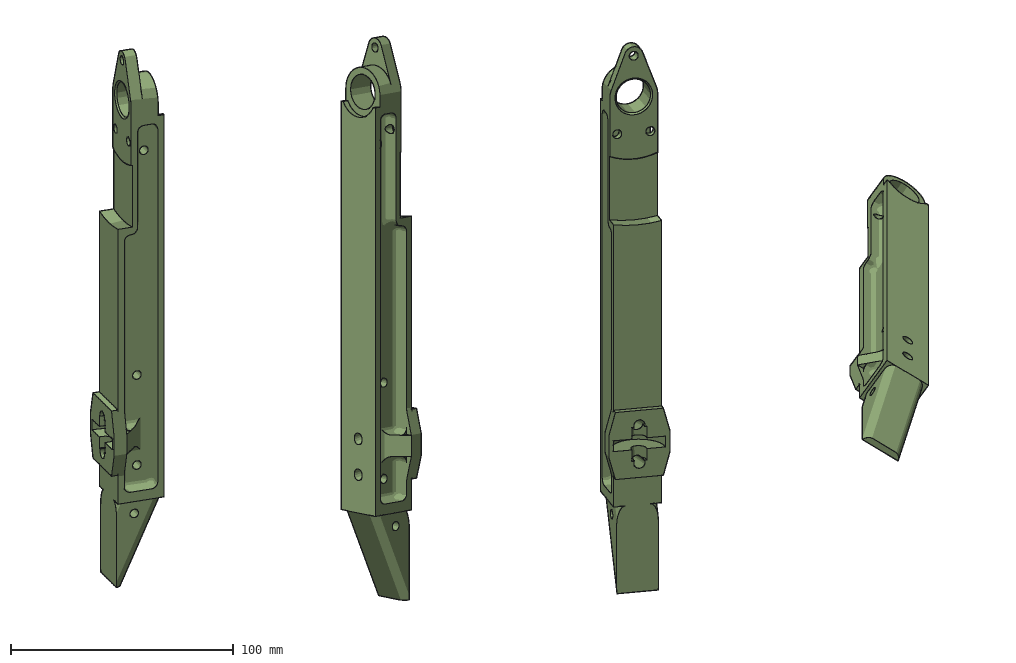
import cadquery as cq
import math

TOTAL_HEIGHT = 257.2
WALL = 3.0

WIDTH = 22.5
DEPTH = 22.5
HALF_WIDTH = WIDTH / 2
SHANK_BOTTOM = 41.5

EYE_Z = 233.5
EYE_FRONT = 6.5
EYE_BACK = 19.5
TIP_RADIUS = 4.5
TIP_Z = TOTAL_HEIGHT - TIP_RADIUS
TIP_PLATE_THICKNESS = 5.7
BORE_RADIUS = 8.0
BORE_CHAMFER = 0.8
PIN_RADIUS = 2.0
PIN_X = 7.7
PIN_Z = 216.3
PIN_HOLE_END = EYE_FRONT + 2 * WALL

PAD_RADIUS = 29.8
SHOULDER_RADIUS = 59.0
RELIEF_FRONT = 7.0
LEDGE_Z = 228.0

POCKET_DEPTH = 6.0
POCKET_FILLET = WALL
POCKET_TOP = 224.5
POCKET_STEP_Z = 172.0
POCKET_BOTTOM = 46.3
FLOOR_X = HALF_WIDTH - POCKET_DEPTH

HEAD_Z = 71.5
HEAD_WIDTH = 28.5
HEAD_HALF_WIDTH = HEAD_WIDTH / 2
HEAD_HALF_HEIGHT = 16.0
HEAD_FLAT_HALF_HEIGHT = 5.0
HEAD_BLEND_RADIUS = 5.1
AXLE_Y = -WALL / 2
WHEEL_RADIUS = 12.0
WHEEL_WIDTH = 5.1
AXLE_DIAMETER = 7.0
AXLE_LENGTH = 16.0
AXLE_HOLE_RADIUS = 2.5

AXLE_HOLES = [(62.5, 8.0), (80.2, 11.0)]

FOOT_WIDTH = 19.5
FOOT_ANGLE = 25.0
FOOT_FILLET = 3.9

CROSS_HOLE_RADIUS = 2.0
CROSS_HOLES = [(15.0, 209.5), (11.5, 100.3), (11.5, 56.3), (8.5, 35.0)]

BACKWARD = cq.Vector(0, 1, 0)


def box(x_range, y_range, z_range):
    """Box between pairs of X, Y and Z positions."""
    sizes = [high - low for low, high in (x_range, y_range, z_range)]
    corner = (x_range[0], y_range[0], z_range[0])
    return cq.Workplane("XY").box(*sizes, centered=False).translate(corner)


def cylinder_y(radius, x, z, y_start, y_end):
    """Cylinder along +Y between two Y positions."""
    start = cq.Vector(x, y_start, z)
    return cq.Workplane(obj=cq.Solid.makeCylinder(radius, y_end - y_start, start, BACKWARD))


def xz_sketch(y):
    """Workplane whose local axes are X and Z and which extrudes towards +Y."""
    return cq.Workplane(cq.Plane(origin=(0, y, 0), xDir=(1, 0, 0), normal=(0, -1, 0)))


def tip_plate():
    """Plate hugging the boss and the tip circle, with straight tangent sides."""
    sin_taper = (HALF_WIDTH - TIP_RADIUS) / (TIP_Z - EYE_Z)
    cos_taper = math.sqrt(1 - sin_taper**2)
    boss_x, boss_z = HALF_WIDTH * cos_taper, EYE_Z + HALF_WIDTH * sin_taper
    tip_x, tip_z = TIP_RADIUS * cos_taper, TIP_Z + TIP_RADIUS * sin_taper
    return (
        xz_sketch(EYE_FRONT)
        .moveTo(-boss_x, boss_z)
        .lineTo(-tip_x, tip_z)
        .threePointArc((0, TOTAL_HEIGHT), (tip_x, tip_z))
        .lineTo(boss_x, boss_z)
        .threePointArc((0, EYE_Z - HALF_WIDTH), (-boss_x, boss_z))
        .close()
        .extrude(-TIP_PLATE_THICKNESS)
    )


def shank():
    """Square bar with the front relieved around the eye and the back stepped below it."""
    body = box((-HALF_WIDTH, HALF_WIDTH), (0, DEPTH), (SHANK_BOTTOM, EYE_Z))
    relief = cylinder_y(SHOULDER_RADIUS, 0, EYE_Z, 0, RELIEF_FRONT)
    pad = cylinder_y(PAD_RADIUS, 0, EYE_Z, EYE_FRONT, RELIEF_FRONT)
    body = body.cut(relief.cut(pad))
    ledge = box((-HALF_WIDTH, HALF_WIDTH), (EYE_BACK, DEPTH), (LEDGE_Z, EYE_Z))
    washer_seat = cylinder_y(HALF_WIDTH, 0, EYE_Z, EYE_BACK, DEPTH)
    return body.cut(ledge).cut(washer_seat)


def left_pocket():
    """Cutter for the pocket in the -X side, rounded everywhere but at its mouth."""
    back = DEPTH - WALL
    upper_front = EYE_FRONT + WALL
    outline = [
        (WALL, POCKET_BOTTOM),
        (back, POCKET_BOTTOM),
        (back, POCKET_TOP),
        (upper_front, POCKET_TOP),
        (upper_front, POCKET_STEP_Z),
        (WALL, POCKET_STEP_Z),
    ]
    cutter = cq.Workplane("YZ", origin=(-HALF_WIDTH, 0, 0)).polyline(outline).close().extrude(POCKET_DEPTH)
    return cutter.edges("not <X").fillet(POCKET_FILLET)


def head():
    """Tapered plate in front of the shank and around its sides."""
    corners = [
        (HALF_WIDTH, HEAD_HALF_HEIGHT),
        (HEAD_HALF_WIDTH, HEAD_FLAT_HALF_HEIGHT),
        (HEAD_HALF_WIDTH, -HEAD_FLAT_HALF_HEIGHT),
        (HALF_WIDTH, -HEAD_HALF_HEIGHT),
    ]
    outline = corners + [(-x, -z) for x, z in corners]
    return xz_sketch(-WALL).center(0, HEAD_Z).polyline(outline).close().extrude(-2 * WALL)


def wheel_housing():
    """45 degree wedges that bring the head's flats down to the pocket floors."""
    reach = HEAD_HALF_WIDTH - FLOOR_X
    profile = [
        (-HEAD_HALF_WIDTH, WALL),
        (-FLOOR_X, WALL + reach),
        (FLOOR_X, WALL + reach),
        (HEAD_HALF_WIDTH, WALL),
        (HALF_WIDTH, 0),
        (-HALF_WIDTH, 0),
    ]
    height = 2 * HEAD_FLAT_HALF_HEIGHT
    bottom = HEAD_Z - HEAD_FLAT_HALF_HEIGHT
    return cq.Workplane("XY", origin=(0, 0, bottom)).polyline(profile).close().extrude(height)


def housing_root(side):
    """Edges where one wedge of the wheel housing meets the walls and floor of its pocket."""
    margin = 0.3
    x_range = sorted((side * (FLOOR_X - margin), side * (FLOOR_X + POCKET_FILLET + margin)))
    z_reach = HEAD_FLAT_HALF_HEIGHT + margin
    low = (x_range[0], WALL - margin, HEAD_Z - z_reach)
    high = (x_range[1], DEPTH - WALL, HEAD_Z + z_reach)
    return cq.selectors.BoxSelector(low, high, boundingbox=True)


def head_corner(side, end):
    """Edge where the head's tapered side meets the side of the shank."""
    return cq.selectors.NearestToPointSelector((side * HALF_WIDTH, WALL / 2, HEAD_Z + end * HEAD_HALF_HEIGHT))


def foot():
    """Rounded bar running down the slope, cut off by the front plane and the bottom plane."""
    run = SHANK_BOTTOM * math.tan(math.radians(FOOT_ANGLE))
    outline = [(0, SHANK_BOTTOM), (DEPTH, SHANK_BOTTOM), (DEPTH - run, 0), (-run, 0)]
    bar = cq.Workplane("YZ").polyline(outline).close().extrude(FOOT_WIDTH / 2, both=True)
    bar = bar.edges("not(|X or |Y)").fillet(FOOT_FILLET)
    return bar.intersect(box((-HALF_WIDTH, HALF_WIDTH), (0, DEPTH), (0, SHANK_BOTTOM)))


def round_bottomed_slot(radius, height):
    """Slot in the head's face, as wide and deep as an upright cylinder on the axle line."""
    bottom = HEAD_Z - height / 2
    round_part = cq.Workplane("XY", origin=(0, AXLE_Y, bottom)).circle(radius).extrude(height)
    mouth = box((-radius, radius), (-WALL, AXLE_Y), (bottom, bottom + height))
    return round_part.union(mouth)


def axle_hole(z, tilt_degrees):
    """Hole from the head's face at height z, sloping down to pass out of the back."""
    overrun = 2.5
    tilt = math.radians(tilt_degrees)
    length = (DEPTH + WALL) / math.cos(tilt) + 2 * overrun
    start = cq.Vector(0, -WALL, z)
    direction = cq.Vector(0, math.cos(tilt), -math.sin(tilt))
    hole = cq.Solid.makeCylinder(AXLE_HOLE_RADIUS, length, start - direction * overrun, direction)
    return cq.Workplane(obj=hole)


def bore():
    """Bore through the eye with a chamfer at its front rim."""
    start = cq.Vector(0, EYE_FRONT, EYE_Z)
    rim_radius = BORE_RADIUS + BORE_CHAMFER
    chamfer = cq.Solid.makeCone(rim_radius, BORE_RADIUS, BORE_CHAMFER, start, BACKWARD)
    return cylinder_y(BORE_RADIUS, 0, EYE_Z, 0, DEPTH).union(cq.Workplane(obj=chamfer))


def cross_hole(y, z):
    """Hole along X through the full width."""
    return cq.Workplane("YZ", origin=(-HALF_WIDTH, y, z)).circle(CROSS_HOLE_RADIUS).extrude(WIDTH)


pocket = left_pocket()
result = shank().cut(pocket).cut(pocket.mirror("YZ"))

housing = wheel_housing()
shank_space = box((-HALF_WIDTH, HALF_WIDTH), (0, DEPTH), (SHANK_BOTTOM, EYE_Z))
result = result.union(housing.intersect(shank_space))
for side in (-1, 1):
    result = result.edges(housing_root(side)).fillet(POCKET_FILLET)
result = result.union(housing).union(head())
for side in (-1, 1):
    for end in (-1, 1):
        result = result.edges(head_corner(side, end)).fillet(HEAD_BLEND_RADIUS)

boss = cylinder_y(HALF_WIDTH, 0, EYE_Z, EYE_FRONT, EYE_BACK)
result = result.union(boss).union(tip_plate()).union(foot())

result = result.cut(bore())
result = result.cut(cylinder_y(PIN_RADIUS, 0, TIP_Z, 0, DEPTH))
for x in (-PIN_X, PIN_X):
    result = result.cut(cylinder_y(PIN_RADIUS, x, PIN_Z, 0, PIN_HOLE_END))

result = result.cut(round_bottomed_slot(WHEEL_RADIUS, WHEEL_WIDTH))
result = result.cut(round_bottomed_slot(AXLE_DIAMETER / 2, AXLE_LENGTH))
for z, tilt_degrees in AXLE_HOLES:
    result = result.cut(axle_hole(z, tilt_degrees))

for y, z in CROSS_HOLES:
    result = result.cut(cross_hole(y, z))